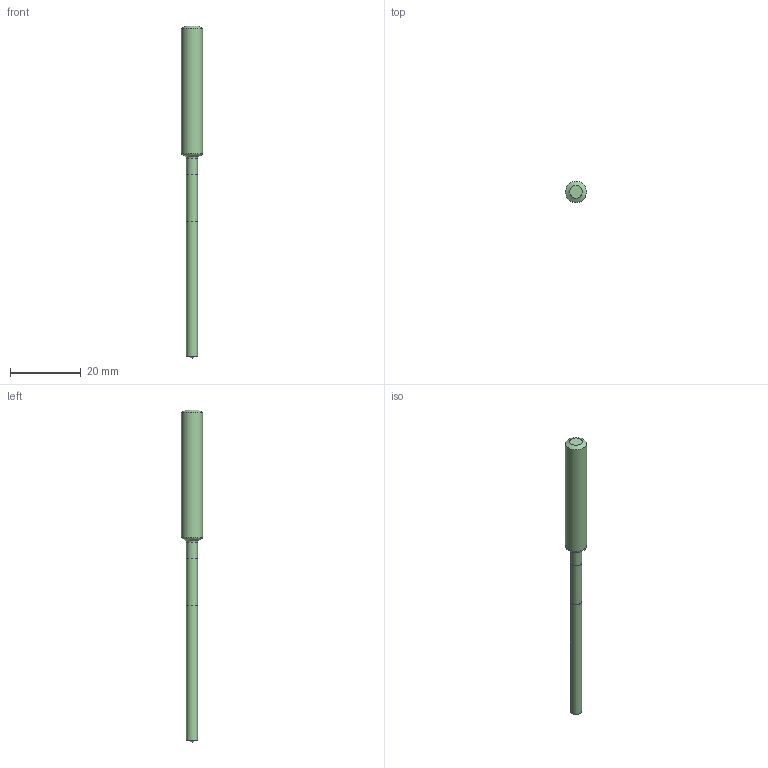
import cadquery as cq
import math

total_length = 94.0
shank_length = 36.0
shank_diameter = 6.0
shank_end_diameter = 3.6
shank_end_angle = 30.0
shoulder_height = 1.5
drill_diameter = 3.14
drill_length = 52.0
cutting_length = 38.6
point_angle = 145.0

shank_radius = shank_diameter / 2
shank_end_radius = shank_end_diameter / 2
drill_radius = drill_diameter / 2

shoulder_top = total_length - shank_length
shoulder_bottom = shoulder_top - shoulder_height
bevel_height = (shank_radius - shank_end_radius) * math.tan(math.radians(shank_end_angle))
bevel_bottom = total_length - bevel_height
point_height = drill_radius / math.tan(math.radians(point_angle / 2))


def revolve_about_axis(half_profile):
    """Turn a closed half profile, drawn as (radius, z), around the tool axis.

    Each straight or curved stretch of the profile keeps its own face (clean=False).
    """
    return half_profile.revolve(360, (0, 0, 0), (0, 1, 0), clean=False)


def make_shank():
    """Bevelled shank with its neck, joined by a smooth S-shaped shoulder."""
    along_axis = (0, 1)
    half_profile = (
        cq.Workplane("XZ")
        .moveTo(0, drill_length)
        .lineTo(drill_radius, drill_length)
        .lineTo(drill_radius, shoulder_bottom)
        .spline(
            [(shank_radius, shoulder_top)],
            tangents=[along_axis, along_axis],
            includeCurrent=True,
        )
        .lineTo(shank_radius, bevel_bottom)
        .lineTo(shank_end_radius, total_length)
        .lineTo(0, total_length)
        .close()
    )
    return revolve_about_axis(half_profile)


def make_drill():
    """Plain drill envelope with a conical point; its side changes face at the cutting length."""
    half_profile = (
        cq.Workplane("XZ")
        .moveTo(0, 0)
        .lineTo(drill_radius, point_height)
        .lineTo(drill_radius, cutting_length)
        .lineTo(drill_radius, drill_length)
        .lineTo(0, drill_length)
        .close()
    )
    return revolve_about_axis(half_profile)


shank = make_shank()
drill = make_drill()
result = cq.Compound.makeCompound([shank.val(), drill.val()])